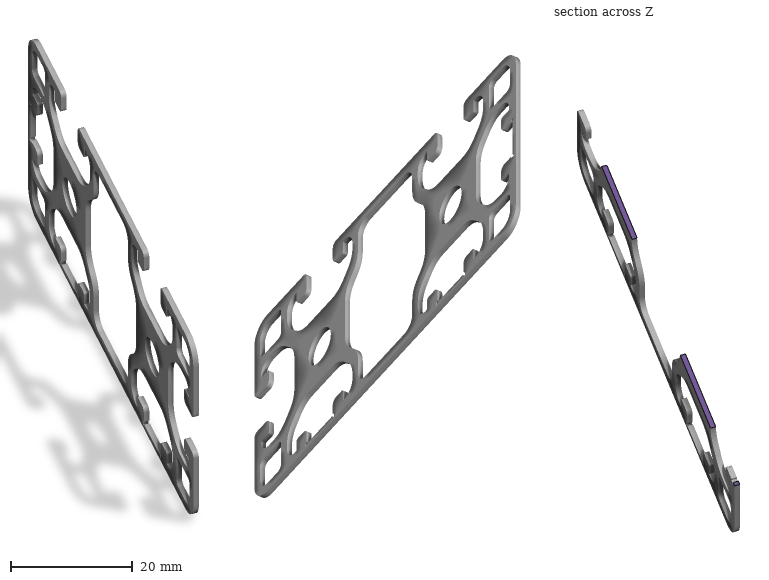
import cadquery as cq
import math

CELL = 40.0
LENGTH = 2 * CELL
THICKNESS = 1.0
OUTER_RADIUS = 4.0
HALF_CELL = CELL / 2
CELL_CENTRES = (-HALF_CELL, HALF_CELL)

BORE_DIAMETER = 6.8
CORE_HALF = 7.8

MOUTH_HALF = 4.0
LIP_WIDTH = 3.1
LIP_DEPTH = 4.5
LIP_WALL = 2.0
LIP_TIP_RADIUS = 1.0
LIP_BACK_RADIUS = 0.4
MOUTH_RADIUS = 1.0
SLOT_HALF = 10.0
SLOT_CORNER_RADIUS = 2.5
SLOT_FLANK_RADIUS = 5.0

WEB_THICKNESS = 1.0
GROOVE_REACH = 0.4
GROOVE_TOP_DEPTH = 1.5
GROOVE_FLOOR_DEPTH = 0.6
GROOVE_FLOOR_WIDTH = 0.2

ARM_SLOT_OFFSET = 2.1
ARM_CHAMBER_OFFSET = 1.5

BOX_WALL = 1.8
BOX_SIZE = 6.5
BOX_OUTER_RADIUS = 2.5
BOX_INNER_RADIUS = 1.1

CHAMBER_RIB = 1.7
CHAMBER_CORNER_RADIUS = 2.5
CHAMBER_BEND_RADIUS = 5.0


def rounded_prism(corners):
    """Prism through the plate from (x, z, radius) corners, each rounded by a tangent arc."""
    outline = None
    for index, (x, z, radius) in enumerate(corners):
        corner = cq.Vector(x, z)
        before = cq.Vector(*corners[index - 1][:2]) - corner
        after = cq.Vector(*corners[(index + 1) % len(corners)][:2]) - corner
        before, after = before.normalized(), after.normalized()
        half_angle = before.getAngle(after) / 2
        tangent_length = radius / math.tan(half_angle)
        start = corner + before * tangent_length
        if outline is None:
            outline = cq.Workplane("XZ").moveTo(start.x, start.y)
        else:
            outline = outline.lineTo(start.x, start.y)
        if radius > 0:
            end = corner + after * tangent_length
            middle_distance = radius / math.sin(half_angle) - radius
            middle = corner + (before + after).normalized() * middle_distance
            outline = outline.threePointArc((middle.x, middle.y), (end.x, end.y))
    return outline.close().extrude(THICKNESS / 2, both=True)


def mirrored(half):
    """Close a half outline, given for positive x, with its mirror image about x = 0."""
    return half + [(-x, z, radius) for x, z, radius in reversed(half)]


def slot_cutter(closed):
    """T-slot cavity opening upward, for a cell centred on the origin."""
    if closed:
        groove_edge = MOUTH_HALF + GROOVE_REACH
        groove_floor = HALF_CELL - GROOVE_FLOOR_DEPTH
        groove_top = HALF_CELL - GROOVE_TOP_DEPTH
        web_face = HALF_CELL - WEB_THICKNESS
        ramp_foot = groove_edge - GROOVE_FLOOR_WIDTH
        ramp_height = web_face - groove_floor
        mouth = [
            (ramp_foot + ramp_height, web_face, 0),
            (ramp_foot, groove_floor, 0),
            (groove_edge, groove_floor, 0),
            (groove_edge, groove_top, 0),
            (MOUTH_HALF, groove_top, 0),
        ]
    else:
        flare = MOUTH_HALF + 2 * MOUTH_RADIUS
        clearance = 0.8
        mouth = [
            (flare, HALF_CELL + clearance, 0),
            (flare, HALF_CELL, 0),
            (MOUTH_HALF, HALF_CELL, MOUTH_RADIUS),
        ]
    lip_tip = HALF_CELL - LIP_DEPTH
    lip_back = MOUTH_HALF + LIP_WIDTH
    ceiling = HALF_CELL - LIP_WALL
    cavity = [
        (MOUTH_HALF, lip_tip, LIP_TIP_RADIUS),
        (lip_back, lip_tip, LIP_BACK_RADIUS),
        (lip_back, ceiling, 0),
        (SLOT_HALF, ceiling, SLOT_CORNER_RADIUS),
        (SLOT_HALF, SLOT_HALF + ARM_SLOT_OFFSET, SLOT_FLANK_RADIUS),
        (CORE_HALF - ARM_SLOT_OFFSET, CORE_HALF, SLOT_FLANK_RADIUS),
    ]
    return rounded_prism(mirrored(mouth + cavity))


def placed_slot(cell_x, turn, closed):
    """Slot turned about the cell axis (0 up, positive toward +X) and moved to its cell."""
    cutter = slot_cutter(closed)
    return cutter.rotate((0, 0, 0), (0, 1, 0), turn).translate((cell_x, 0, 0))


def corner_box(side_x, side_z):
    """Hollow box in one outer corner, with the larger radius toward the outside."""
    outer_x = LENGTH / 2 - BOX_WALL
    outer_z = HALF_CELL - BOX_WALL
    inner_x = outer_x - BOX_SIZE
    inner_z = outer_z - BOX_SIZE
    return rounded_prism([
        (side_x * inner_x, side_z * inner_z, BOX_INNER_RADIUS),
        (side_x * outer_x, side_z * inner_z, BOX_INNER_RADIUS),
        (side_x * outer_x, side_z * outer_z, BOX_OUTER_RADIUS),
        (side_x * inner_x, side_z * outer_z, BOX_INNER_RADIUS),
    ])


def central_chamber():
    """Large chamber that narrows above and below the waist between the cores."""
    ceiling = HALF_CELL - LIP_WALL
    neck_from_cell = SLOT_HALF + CHAMBER_RIB
    neck_half = HALF_CELL - neck_from_cell
    waist_half = HALF_CELL - CORE_HALF
    upper_right = [
        (neck_half, ceiling, CHAMBER_CORNER_RADIUS),
        (neck_half, neck_from_cell - ARM_CHAMBER_OFFSET, CHAMBER_BEND_RADIUS),
        (waist_half, CORE_HALF - ARM_CHAMBER_OFFSET, CHAMBER_BEND_RADIUS),
    ]
    lower_right = [(x, -z, radius) for x, z, radius in reversed(upper_right)]
    return rounded_prism(mirrored(upper_right + lower_right))


result = cq.Workplane("XY").box(LENGTH, THICKNESS, CELL).edges("|Y").fillet(OUTER_RADIUS)

for cell_x in CELL_CENTRES:
    bore = cq.Workplane("XZ").center(cell_x, 0).circle(BORE_DIAMETER / 2)
    bore = bore.extrude(THICKNESS / 2, both=True)
    result = result.cut(bore)
    result = result.cut(placed_slot(cell_x, 0, closed=False))
    result = result.cut(placed_slot(cell_x, 180, closed=True))

result = result.cut(placed_slot(-HALF_CELL, -90, closed=True))
result = result.cut(placed_slot(HALF_CELL, 90, closed=False))

for side_x in (-1, 1):
    for side_z in (-1, 1):
        result = result.cut(corner_box(side_x, side_z))
result = result.cut(central_chamber())